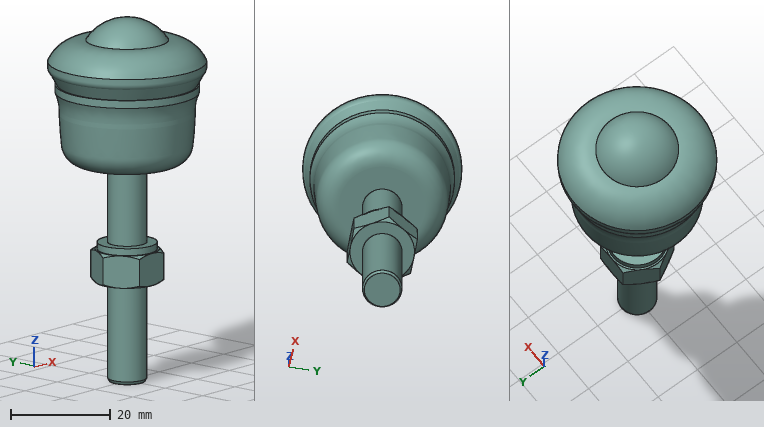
import cadquery as cq
import math

total_height = 75.2

ball_radius = 10.0
ball_center_z = total_height - ball_radius

cap_top_z = 70.7
cap_top_radius = 8.8
cap_diameter = 32.1
cap_radius = cap_diameter / 2
cap_shoulder_z = 66.25
cap_shoulder_mid = (13.4, 69.3)
cap_lip_z = 65.2
cap_flare_z = 64.0
cap_flare_radius = 15.6
cap_lip_mid = (15.95, 64.5)
cap_base_radius = 14.2

rim_top_z = 61.5
rim_base_z = 59.9
rim_radius = 14.6
waist_top_z = 56.3
waist_base_z = 55.35
waist_radius = 13.75
waist_curve_mid = (14.0, 58.2)
draft_base_z = 49.25
draft_base_radius = 13.3
draft_mid = (13.6, 52.3)
cup_base_z = 45.0
cup_base_radius = 8.8
stud_radius = 4.0
stud_tip_radius = 3.6
stud_tip_height = 0.7

nut_base_z = 20.7
nut_height = 6.7
nut_across_flats = 13.0
nut_chamfer_angle = 30.0
collar_radius = 6.1
collar_height = 1.4

nut_corner_radius = nut_across_flats / (2 * math.cos(math.radians(30)))
nut_top_z = nut_base_z + nut_height


def make_ball():
    return cq.Workplane("XY").sphere(ball_radius).translate((0, 0, ball_center_z))


def make_cap():
    """Domed ring with a spherical seat for the ball."""
    body = (
        cq.Workplane("XZ")
        .moveTo(0, cap_top_z)
        .lineTo(cap_top_radius, cap_top_z)
        .threePointArc(cap_shoulder_mid, (cap_radius, cap_shoulder_z))
        .lineTo(cap_radius, cap_lip_z)
        .threePointArc(cap_lip_mid, (cap_flare_radius, cap_flare_z))
        .lineTo(cap_base_radius, rim_top_z)
        .lineTo(0, rim_top_z)
        .close()
        .revolve(360, (0, 0), (0, 1))
    )
    return body.cut(make_ball())


def make_cup():
    """Round-bottomed cup and stud in one piece, seating the lower part of the ball."""
    corner_drop = draft_base_z - cup_base_z
    corner_width = draft_base_radius - cup_base_radius
    corner_mid = (
        cup_base_radius + corner_width * math.cos(math.radians(45)),
        draft_base_z - corner_drop * math.sin(math.radians(45)),
    )
    body = (
        cq.Workplane("XZ")
        .moveTo(0, rim_top_z)
        .lineTo(rim_radius, rim_top_z)
        .lineTo(rim_radius, rim_base_z)
        .threePointArc(waist_curve_mid, (waist_radius, waist_top_z))
        .lineTo(waist_radius, waist_base_z)
        .threePointArc(draft_mid, (draft_base_radius, draft_base_z))
        .threePointArc(corner_mid, (cup_base_radius, cup_base_z))
        .lineTo(stud_radius, cup_base_z)
        .lineTo(stud_radius, stud_tip_height)
        .lineTo(stud_tip_radius, 0)
        .lineTo(0, 0)
        .close()
        .revolve(360, (0, 0), (0, 1))
    )
    return body.cut(make_ball())


def make_nut():
    """Hexagon nut with corners along X, chamfered at both ends."""
    hexagon = (
        cq.Workplane("XY", origin=(0, 0, nut_base_z))
        .polygon(6, 2 * nut_corner_radius)
        .extrude(nut_height)
    )
    flat_radius = nut_across_flats / 2
    bevel = (nut_corner_radius - flat_radius) * math.tan(math.radians(nut_chamfer_angle))
    envelope = (
        cq.Workplane("XZ")
        .moveTo(0, nut_base_z)
        .lineTo(flat_radius, nut_base_z)
        .lineTo(nut_corner_radius, nut_base_z + bevel)
        .lineTo(nut_corner_radius, nut_top_z - bevel)
        .lineTo(flat_radius, nut_top_z)
        .lineTo(0, nut_top_z)
        .close()
        .revolve(360, (0, 0), (0, 1))
    )
    collar = (
        cq.Workplane("XY", origin=(0, 0, nut_top_z))
        .circle(collar_radius)
        .extrude(collar_height)
    )
    bore = (
        cq.Workplane("XY", origin=(0, 0, nut_base_z))
        .circle(stud_radius)
        .extrude(nut_height + collar_height)
    )
    return hexagon.intersect(envelope).union(collar).cut(bore)


ball = make_ball()
cap = make_cap()
cup = make_cup()
nut = make_nut()

result = cq.Compound.makeCompound([ball.val(), cap.val(), cup.val(), nut.val()])